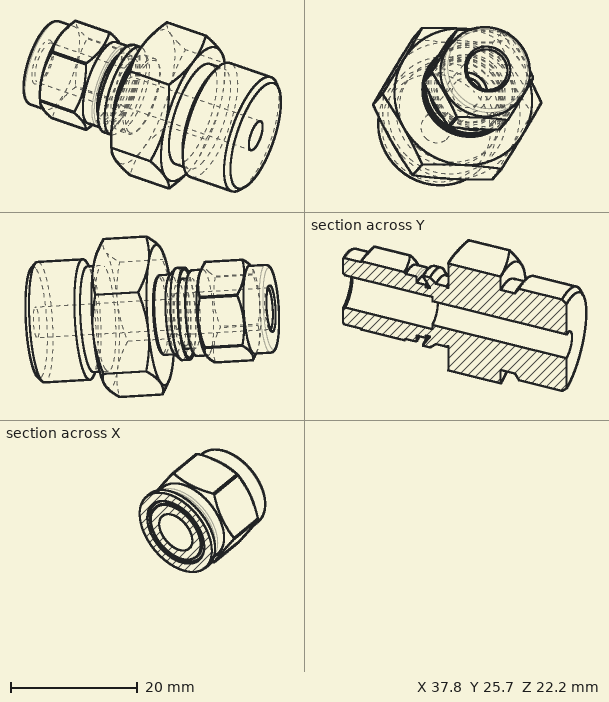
import cadquery as cq
import math

length = 37.75

nut_nose_dia = 13.9
nut_nose_round = 0.5
nut_hex_start = 3.05
nut_hex_end = 10.6
nut_across_flats = 14.23
nut_corner_dia = 16.3
nut_collar_dia = 13.6
nut_collar_end = 12.5
nut_collar_round = 0.25

neck_dia = 11.1
neck_end = 13.95
undercut_dia = 10.1
ring_dia = 14.6
ring_start = 13.55
ring_end = 14.7
ring_recess_dia = 13.95
ring_recess_depth = 1.15
shoulder_dia = 12.6
shoulder_bevel = 0.25

body_hex_start = 17.78
body_hex_end = 26.65
body_across_flats = 22.23
body_corner_dia = body_across_flats / math.cos(math.radians(30))

relief_dia = 16.7
relief_end = 29.02
thread_dia = 19.05
thread_bevel = 0.75

bore_dia = 4.83
socket_dia = 6.55
socket_depth = 15.1
socket_bevel = 0.38

bevel_slope = math.tan(math.radians(30))


def cylinder(start, end, diameter):
    return cq.Workplane("YZ", origin=(start, 0, 0)).circle(diameter / 2).extrude(end - start)


def revolve_profile(points):
    """Revolve a closed outline of (x, radius) points about the X axis."""
    return cq.Workplane("XY").polyline(points).close().revolve(360, (0, 0, 0), (1, 0, 0))


def beveled_hexagon(start, end, across_flats, corner_dia, start_face_dia, end_face_dia):
    """Hexagon with corners on the Y axis, trimmed by a cone at each end."""
    hexagon = (
        cq.Workplane("YZ", origin=(start, 0, 0))
        .polygon(6, across_flats / math.cos(math.radians(30)))
        .extrude(end - start)
    )
    corner_radius = corner_dia / 2
    start_radius = start_face_dia / 2
    end_radius = end_face_dia / 2
    envelope = revolve_profile([
        (start, 0),
        (start, start_radius),
        (start + (corner_radius - start_radius) * bevel_slope, corner_radius),
        (end - (corner_radius - end_radius) * bevel_slope, corner_radius),
        (end, end_radius),
        (end, 0),
    ])
    return hexagon.intersect(envelope)


def make_nut():
    nose = cylinder(0, nut_hex_start, nut_nose_dia).faces("<X").edges().fillet(nut_nose_round)
    hexagon = beveled_hexagon(
        nut_hex_start, nut_hex_end, nut_across_flats, nut_corner_dia, nut_nose_dia, nut_collar_dia
    )
    collar = cylinder(nut_hex_end, nut_collar_end, nut_collar_dia)
    collar = collar.faces(">X").edges().fillet(nut_collar_round)
    return nose.union(hexagon).union(collar)


def make_middle():
    neck = cylinder(nut_collar_end, neck_end, neck_dia)
    ring_radius = ring_dia / 2
    shoulder_radius = shoulder_dia / 2
    cone_end = ring_end + ring_radius - shoulder_radius
    ring_and_shoulder = revolve_profile([
        (ring_start, 0),
        (ring_start, ring_radius),
        (ring_end, ring_radius),
        (cone_end, shoulder_radius),
        (body_hex_start - shoulder_bevel, shoulder_radius),
        (body_hex_start, shoulder_radius - shoulder_bevel),
        (body_hex_start, 0),
    ])
    recess_end = ring_start + ring_recess_depth
    recess = revolve_profile([
        (ring_start, 0),
        (ring_start, ring_recess_dia / 2),
        (recess_end, undercut_dia / 2),
        (recess_end, 0),
    ])
    undercut = cylinder(neck_end, recess_end, undercut_dia)
    return ring_and_shoulder.cut(recess).union(neck).union(undercut)


def make_threaded_end():
    relief_radius = relief_dia / 2
    thread_radius = thread_dia / 2
    lead_in = (thread_radius - relief_radius) * bevel_slope
    return revolve_profile([
        (body_hex_end, 0),
        (body_hex_end, relief_radius),
        (relief_end, relief_radius),
        (relief_end + lead_in, thread_radius),
        (length - thread_bevel, thread_radius),
        (length, thread_radius - thread_bevel),
        (length, 0),
    ])


def make_bore():
    socket_radius = socket_dia / 2
    bore_radius = bore_dia / 2
    return revolve_profile([
        (0, 0),
        (0, socket_radius + socket_bevel),
        (socket_bevel, socket_radius),
        (socket_depth, socket_radius),
        (socket_depth, bore_radius),
        (length, bore_radius),
        (length, 0),
    ])


body_hexagon = beveled_hexagon(
    body_hex_start, body_hex_end, body_across_flats, body_corner_dia, body_across_flats, body_across_flats
)

result = (
    make_nut()
    .union(make_middle())
    .union(body_hexagon)
    .union(make_threaded_end())
    .cut(make_bore())
)